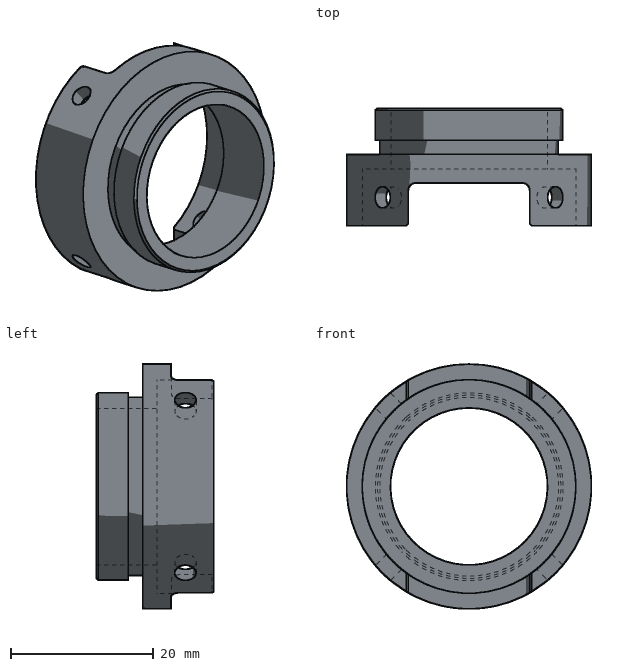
import cadquery as cq

total_length = 16.5
collar_length = 10.0
groove_length = 2.0
spigot_length = total_length - collar_length - groove_length

collar_diameter = 34.4
seat_diameter = 30.0
spigot_diameter = 26.4
groove_diameter = 25.1
bore_diameter = 22.0
seat_depth = 8.0
spigot_chamfer = 0.3

slot_width = 17.0
slot_depth = 6.0
slot_floor_radius = 1.0
slot_mouth_chamfer = 0.3

hole_diameter = 3.0
hole_offset = 4.0
hole_angles = (45, 135, 225, 315)

front_y = -total_length / 2


def cylinder(diameter, start, length):
    """Cylinder along +Y, starting a given distance behind the front rim."""
    plane = cq.Plane(origin=(0, front_y + start, 0), xDir=(0, 0, 1), normal=(0, 1, 0))
    return cq.Workplane(plane).circle(diameter / 2).extrude(length)


def turned_body():
    collar = cylinder(collar_diameter, 0, collar_length)
    groove = cylinder(groove_diameter, collar_length, groove_length)
    spigot = cylinder(spigot_diameter, collar_length + groove_length, spigot_length)
    spigot = spigot.faces(">Y").chamfer(spigot_chamfer)
    body = collar.union(groove).union(spigot)
    body = body.cut(cylinder(bore_diameter, 0, total_length))
    return body.cut(cylinder(seat_diameter, 0, seat_depth))


def slot_cutter():
    """Slot along Z with rounded floor corners and a chamfered mouth."""
    half_width = slot_width / 2
    mouth_half_width = half_width + slot_mouth_chamfer
    slot = (
        cq.Workplane("XY", origin=(0, front_y + slot_depth / 2, 0))
        .box(slot_width, slot_depth, 2 * collar_diameter)
        .edges("|Z and >Y")
        .fillet(slot_floor_radius)
    )
    mouth = (
        cq.Workplane("XY")
        .moveTo(-mouth_half_width, front_y)
        .lineTo(mouth_half_width, front_y)
        .lineTo(half_width, front_y + slot_mouth_chamfer)
        .lineTo(-half_width, front_y + slot_mouth_chamfer)
        .close()
        .extrude(collar_diameter, both=True)
    )
    return slot.union(mouth)


def radial_hole(angle):
    hole = cq.Workplane("XY").center(0, front_y + hole_offset).circle(hole_diameter / 2)
    return hole.extrude(collar_diameter).rotate((0, 0, 0), (0, 1, 0), angle)


result = turned_body().cut(slot_cutter())
for hole_angle in hole_angles:
    result = result.cut(radial_hole(hole_angle))